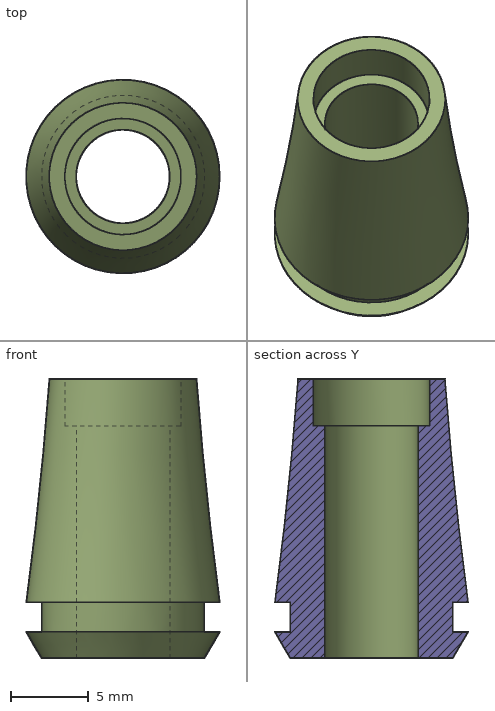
import cadquery as cq

total_height = 18.0
rim_height = 1.7
body_base = 3.6
counterbore_depth = 3.0

max_radius = 6.25
top_radius = 4.75
neck_radius = 5.25
bottom_radius = 5.25
bore_radius = 3.0
counterbore_radius = 3.75

side_bow = 0.1

body_middle_radius = (max_radius + top_radius) / 2 - side_bow
body_middle_height = (body_base + total_height) / 2
counterbore_floor = total_height - counterbore_depth

profile = (
    cq.Workplane("XZ")
    .moveTo(bore_radius, 0)
    .lineTo(bottom_radius, 0)
    .lineTo(max_radius, rim_height)
    .lineTo(neck_radius, rim_height)
    .lineTo(neck_radius, body_base)
    .lineTo(max_radius, body_base)
    .threePointArc((body_middle_radius, body_middle_height), (top_radius, total_height))
    .lineTo(counterbore_radius, total_height)
    .lineTo(counterbore_radius, counterbore_floor)
    .lineTo(bore_radius, counterbore_floor)
    .close()
)

result = profile.revolve(360, (0, 0, 0), (0, 1, 0))